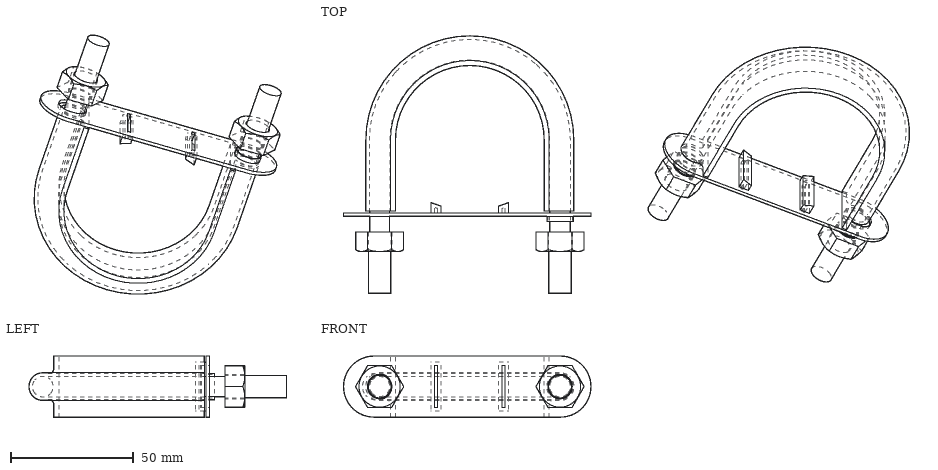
import cadquery as cq
import math


leg_offset = 36.8
rod_dia = 8.4
left_neck_dia = 8.2
thread_dia = 9.2
rod_end_y = -62.6

tube_radius = 5.7
band_inner_radius = 30.3
band_thickness = 2.1
band_width = 25.0
blend_radius = 2.0
saddle_end_y = -29.1

plate_length = 101.0
plate_width = band_width
plate_thickness = 1.5
plate_center_x = -1.0
plate_top_y = -29.7
plate_bottom_y = plate_top_y - plate_thickness
slot_width = 10.8
slot_length = 11.9
slot_center_x = plate_center_x - leg_offset
collar_dia = 10.8
collar_bore_dia = 10.0
collar_length = 2.1

tooth_offset = 13.8
tooth_width = 4.2
tooth_length = 20.0
tooth_outer_height = 4.2
tooth_inner_height = 2.7

nut_across_flats = 17.0
nut_height = 8.1
nut_bore_dia = 10.0
nut_top_y = -37.5
nut_face_dia = 16.8
nut_chamfer_angle = 30.0

SIDES = (-1, 1)


def cylinder_down(x, top_y, bottom_y, dia):
    """Cylinder along Y, from top_y down to bottom_y."""
    return (
        cq.Workplane("XZ", origin=(x, top_y, 0))
        .circle(dia / 2)
        .extrude(top_y - bottom_y)
    )


def u_path():
    """Centreline of the U, from the end of the +X leg to the end of the -X leg."""
    return (
        cq.Workplane("XY")
        .moveTo(leg_offset, saddle_end_y)
        .lineTo(leg_offset, 0)
        .threePointArc((0, leg_offset), (-leg_offset, 0))
        .lineTo(-leg_offset, saddle_end_y)
    )


def u_section_plane():
    """Plane across the end of the legs, where the swept sections are drawn."""
    return cq.Workplane("XZ", origin=(0, saddle_end_y, 0))


def swept_core():
    """The part of the rod that the saddle encloses."""
    return u_section_plane().center(leg_offset, 0).circle(rod_dia / 2).sweep(u_path())


def make_u_bolt():
    bolt = swept_core()
    for side, neck_dia in zip(SIDES, (left_neck_dia, rod_dia)):
        x = side * leg_offset
        bolt = bolt.union(cylinder_down(x, saddle_end_y, nut_top_y, neck_dia))
        bolt = bolt.union(cylinder_down(x, nut_top_y, rod_end_y, thread_dia))
    return bolt


def make_saddle():
    band_outer_radius = band_inner_radius + band_thickness
    half_width = band_width / 2

    blend_x = band_outer_radius + blend_radius
    center_distance = tube_radius + blend_radius
    blend_z = math.sqrt(center_distance**2 - (leg_offset - blend_x) ** 2)

    tube_share = tube_radius / center_distance
    joint_x = leg_offset + (blend_x - leg_offset) * tube_share
    joint_z = blend_z * tube_share
    joint_angle = math.atan2(joint_z - blend_z, joint_x - blend_x)
    middle_angle = (joint_angle - math.pi) / 2
    middle_x = blend_x + blend_radius * math.cos(middle_angle)
    middle_z = blend_z + blend_radius * math.sin(middle_angle)

    section = (
        u_section_plane()
        .moveTo(band_inner_radius, -half_width)
        .lineTo(band_outer_radius, -half_width)
        .lineTo(band_outer_radius, -blend_z)
        .threePointArc((middle_x, -middle_z), (joint_x, -joint_z))
        .threePointArc((leg_offset + tube_radius, 0), (joint_x, joint_z))
        .threePointArc((middle_x, middle_z), (band_outer_radius, blend_z))
        .lineTo(band_outer_radius, half_width)
        .lineTo(band_inner_radius, half_width)
        .close()
    )
    return section.sweep(u_path()).cut(swept_core())


def tooth_prism(side, base_y, inset):
    """Prism with a sloping top, inset from the tooth's outer faces."""
    inner_x = tooth_offset - tooth_width / 2
    outer_x = tooth_offset + tooth_width / 2
    slope = (tooth_outer_height - tooth_inner_height) / tooth_width
    inner_top_y = plate_top_y + tooth_inner_height + (slope - 1) * inset
    outer_top_y = plate_top_y + tooth_outer_height - (slope + 1) * inset
    corners = [
        (side * (inner_x + inset), base_y),
        (side * (outer_x - inset), base_y),
        (side * (outer_x - inset), outer_top_y),
        (side * (inner_x + inset), inner_top_y),
    ]
    half_length = tooth_length / 2 - inset
    return cq.Workplane("XY").polyline(corners).close().extrude(half_length, both=True)


def make_plate():
    plate = (
        cq.Workplane("XZ", origin=(plate_center_x, plate_top_y, 0))
        .slot2D(plate_length, plate_width)
        .extrude(plate_thickness)
    )

    slot = (
        cq.Workplane("XZ", origin=(slot_center_x, plate_top_y, 0))
        .slot2D(slot_length, slot_width)
        .extrude(plate_thickness)
    )
    plate = plate.cut(slot)

    collar_end_y = plate_bottom_y - collar_length
    plate = plate.union(cylinder_down(leg_offset, plate_bottom_y, collar_end_y, collar_dia))
    plate = plate.cut(cylinder_down(leg_offset, plate_top_y, collar_end_y, collar_bore_dia))

    for side in SIDES:
        plate = plate.union(tooth_prism(side, plate_top_y, 0))
        plate = plate.cut(tooth_prism(side, plate_bottom_y, plate_thickness))
    return plate


def make_nut(x):
    corner_dia = nut_across_flats / math.cos(math.pi / 6)
    nut = (
        cq.Workplane("XZ", origin=(x, nut_top_y, 0))
        .polygon(6, corner_dia)
        .extrude(nut_height)
    )

    face_radius = nut_face_dia / 2
    corner_radius = corner_dia / 2
    nut_bottom_y = nut_top_y - nut_height
    chamfer_height = (corner_radius - face_radius) * math.tan(math.radians(nut_chamfer_angle))
    turned_blank = (
        cq.Workplane("XY")
        .moveTo(0, nut_top_y)
        .lineTo(corner_radius, nut_top_y)
        .lineTo(corner_radius, nut_bottom_y + chamfer_height)
        .lineTo(face_radius, nut_bottom_y)
        .lineTo(0, nut_bottom_y)
        .close()
        .revolve(360, (0, 0, 0), (0, 1, 0))
        .translate((x, 0, 0))
    )
    return nut.intersect(turned_blank).cut(cylinder_down(x, nut_top_y, nut_bottom_y, nut_bore_dia))


u_bolt = make_u_bolt()
saddle = make_saddle()
plate = make_plate()
nuts = [make_nut(side * leg_offset) for side in SIDES]

result = cq.Compound.makeCompound(
    [u_bolt.val(), saddle.val(), plate.val(), *[nut.val() for nut in nuts]]
)